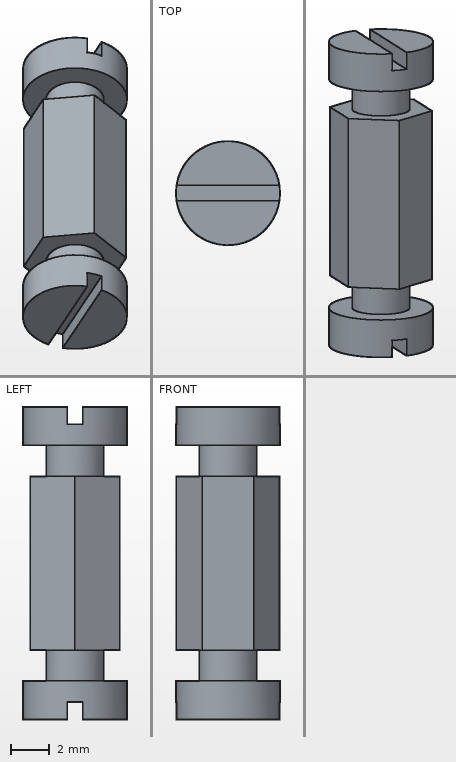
import cadquery as cq

standoff_length = 9.0
standoff_across_corners = 5.36

head_diameter = 5.4
head_height = 2.0
shank_diameter = 3.0
shank_length = 1.6
slot_width = 0.8
slot_depth = 0.9

standoff_end = standoff_length / 2
screw_length = shank_length + head_height


def make_standoff():
    """Hexagonal bar with two opposite corners on the X axis."""
    return (
        cq.Workplane("XY")
        .workplane(offset=-standoff_end)
        .polygon(6, standoff_across_corners)
        .extrude(standoff_length)
    )


def make_slot():
    """Bar along X that cuts the driver slot into the outer face of a head."""
    return (
        cq.Workplane("XY")
        .workplane(offset=standoff_end + screw_length - slot_depth)
        .rect(head_diameter, slot_width)
        .extrude(slot_depth)
    )


def make_screw():
    """Upper screw: shank on the standoff's top face, slotted head above it."""
    shank = (
        cq.Workplane("XY")
        .workplane(offset=standoff_end)
        .circle(shank_diameter / 2)
        .extrude(shank_length)
    )
    head = (
        cq.Workplane("XY")
        .workplane(offset=standoff_end + shank_length)
        .circle(head_diameter / 2)
        .extrude(head_height)
    )
    return shank.union(head).cut(make_slot())


standoff = make_standoff()

screws = []
for turn in (0, 180):
    screw = make_screw().rotate((0, 0, 0), (1, 0, 0), turn)
    screws.append(screw.solids().val())

result = cq.Compound.makeCompound([standoff.val(), *screws])